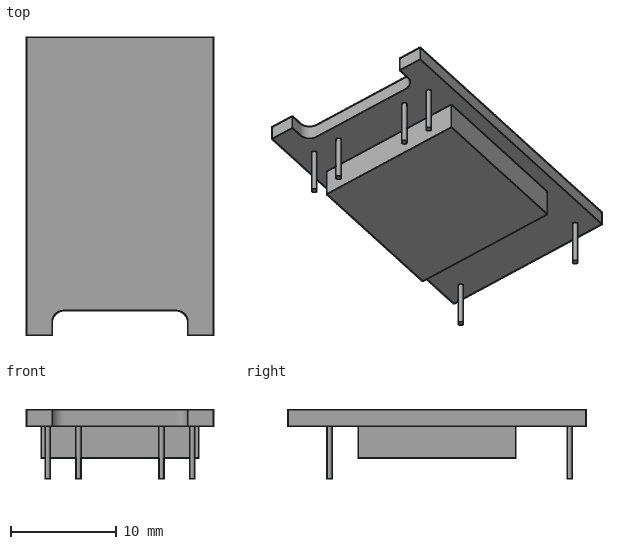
import cadquery as cq

board_width = 17.8
board_length = 28.4
board_thickness = 1.6

notch_width = 12.9
notch_depth = 2.35
notch_radius = 1.1

block_side = 15.0
block_height = 3.0

pin_diameter = 0.5
pin_length = 5.0
outer_pin_x = 6.87
inner_pin_x = 3.95
front_pin_y = -10.22
back_pin_y = 12.65


def make_board():
    """Board with its underside at Z = 0 and a notch in the front edge."""
    board = cq.Workplane("XY").box(
        board_width, board_length, board_thickness, centered=(True, True, False)
    )
    notch = (
        cq.Workplane("XY")
        .box(notch_width, 2 * notch_depth, board_thickness, centered=(True, True, False))
        .edges("|Z and >Y")
        .fillet(notch_radius)
        .translate((0, -board_length / 2, 0))
    )
    return board.cut(notch)


def make_block():
    """Block hanging from the middle of the underside."""
    return cq.Workplane("XY").rect(block_side, block_side).extrude(-block_height)


def make_pins():
    """Four pins along the front and two at the back corners."""
    front_pins = [(x, front_pin_y) for x in (-outer_pin_x, -inner_pin_x, inner_pin_x, outer_pin_x)]
    back_pins = [(x, back_pin_y) for x in (-outer_pin_x, outer_pin_x)]
    return (
        cq.Workplane("XY")
        .pushPoints(front_pins + back_pins)
        .circle(pin_diameter / 2)
        .extrude(-pin_length)
    )


result = make_board().union(make_block()).union(make_pins())